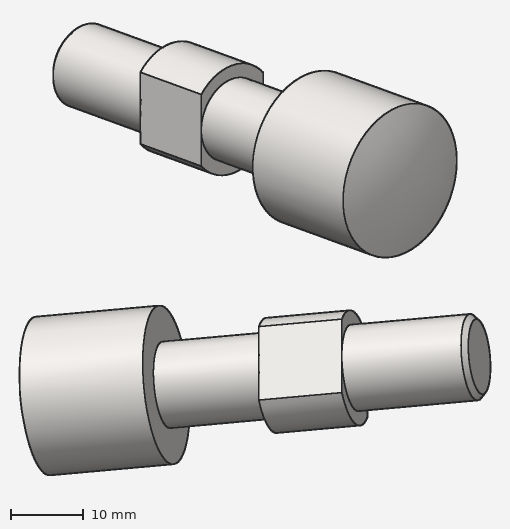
import cadquery as cq
import math

shaft_diameter = 12.0
tip_chamfer = 0.8
collar_start = 18.0
collar_length = 12.0
collar_diameter = 16.0
collar_across_flats = shaft_diameter
head_start = 45.2
head_length = 17.8
head_diameter = 22.0
dome_radius = 32.5

head_radius = head_diameter / 2
head_end = head_start + head_length
dome_height = dome_radius - math.sqrt(dome_radius**2 - head_radius**2)


def cylinder_along_x(start, length, diameter):
    return cq.Workplane("YZ", origin=(start, 0, 0)).circle(diameter / 2).extrude(length)


def make_shaft():
    """Plain round shaft with a chamfered free end."""
    return cylinder_along_x(0, head_start, shaft_diameter).faces("<X").chamfer(tip_chamfer)


def make_collar():
    """Round collar with two parallel flats facing -Y and +Y."""
    flats = cq.Workplane("YZ", origin=(collar_start, 0, 0)).rect(collar_across_flats, collar_diameter)
    return cylinder_along_x(collar_start, collar_length, collar_diameter).intersect(flats.extrude(collar_length))


def make_head():
    """Cylindrical head with a shallow spherical dome on its outer end."""
    dome_mid_radius = head_radius / 2
    dome_mid_x = head_end + dome_height - dome_radius + math.sqrt(dome_radius**2 - dome_mid_radius**2)
    profile = (
        cq.Workplane("XY")
        .moveTo(head_start, 0)
        .lineTo(head_start, head_radius)
        .lineTo(head_end, head_radius)
        .threePointArc((dome_mid_x, dome_mid_radius), (head_end + dome_height, 0))
        .close()
    )
    return profile.revolve(360, (0, 0, 0), (1, 0, 0))


result = make_shaft().union(make_collar()).union(make_head())